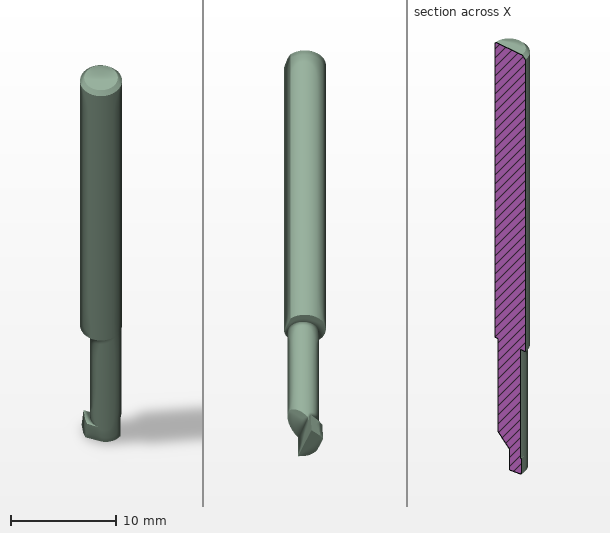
import cadquery as cq
import math

total_length = 50.0
shank_radius = 2.0
shank_flat_y = 1.75
shank_end_chamfer = 0.4

neck_length = 15.0
neck_radius = 1.5
neck_x = shank_radius - neck_radius

head_height = 2.2
head_lean = 0.2
tip_x = -shank_radius
flank_break_x = -1.4
flank_break_y = -1.05
heel_x = -1.0

rake_face_top = 2.6
runout_angle = 45.0

end_relief_angle = 6.0
end_side_angle = 3.0


def make_shank():
    shank = (
        cq.Workplane("XY")
        .workplane(offset=neck_length)
        .circle(shank_radius)
        .extrude(total_length - neck_length)
        .faces(">Z")
        .chamfer(shank_end_chamfer)
    )
    flat_cutter = (
        cq.Workplane("XY")
        .box(2 * shank_radius, shank_radius, total_length, centered=(True, False, False))
        .translate((0, shank_flat_y, 0))
    )
    return shank.cut(flat_cutter)


def make_neck():
    neck = cq.Workplane("XY").center(neck_x, 0).circle(neck_radius).extrude(neck_length)
    runout_top = rake_face_top + neck_radius * math.tan(math.radians(runout_angle))
    clearance = (
        cq.Workplane("YZ")
        .polyline([(0, 0), (neck_radius, 0), (neck_radius, runout_top), (0, rake_face_top)])
        .close()
        .extrude(2 * shank_radius, both=True)
    )
    return neck.cut(clearance)


def head_outline(lean):
    return [
        (tip_x + lean, 0),
        (flank_break_x + lean, flank_break_y),
        (heel_x + lean, -neck_radius),
        (neck_x, -neck_radius),
        (neck_x, 0),
    ]


def make_head():
    return (
        cq.Workplane("XY")
        .polyline(head_outline(0))
        .close()
        .workplane(offset=head_height)
        .polyline(head_outline(head_lean))
        .close()
        .loft(ruled=True)
    )


def make_end_relief():
    """Wedge below the sloping end face that passes through the tip."""
    side = 4 * shank_radius
    return (
        cq.Workplane("XY")
        .box(side, side, side, centered=(True, True, False))
        .translate((0, 0, -side))
        .rotate((0, 0, 0), (1, 0, 0), -end_relief_angle)
        .rotate((0, 0, 0), (0, 1, 0), -end_side_angle)
        .translate((tip_x, 0, 0))
    )


lower_end = make_neck().union(make_head()).cut(make_end_relief())
result = make_shank().union(lower_end)